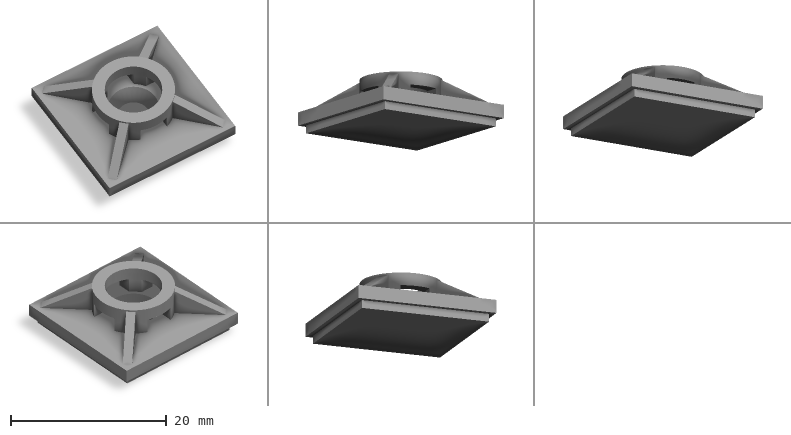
import cadquery as cq

plate_side = 19.0
pad_side = 17.5
pad_height = 1.05
plate_thickness = 1.75
plate_top = pad_height + plate_thickness

total_height = 6.5
ring_outer_diameter = 10.7
ring_inner_diameter = 7.4
strap_width = 4.0
strap_height = 2.0

sink_top_diameter = 6.5
sink_bottom_diameter = 4.1
sink_depth = plate_thickness

rib_count = 4
first_rib_angle = 45
rib_thickness = 1.2
rib_tip_radius = 11.98
rib_drop_below_ring = 0.25


def make_base():
    pad = cq.Workplane("XY").rect(pad_side, pad_side).extrude(pad_height)
    plate = (
        cq.Workplane("XY")
        .workplane(offset=pad_height)
        .rect(plate_side, plate_side)
        .extrude(plate_thickness)
    )
    return pad.union(plate)


def make_ring():
    return (
        cq.Workplane("XY")
        .workplane(offset=plate_top)
        .circle(ring_outer_diameter / 2)
        .circle(ring_inner_diameter / 2)
        .extrude(total_height - plate_top)
    )


def make_strap_slots():
    """Two crossing tunnels along X and Y, lying on the plate."""
    slot_floor = cq.Workplane("XY").workplane(offset=plate_top)
    along_x = slot_floor.rect(plate_side, strap_width).extrude(strap_height)
    along_y = slot_floor.rect(strap_width, plate_side).extrude(strap_height)
    return along_x.union(along_y)


def make_rib(angle):
    """Rib sloping from the ring's outer wall down to the plate."""
    rib_top = total_height - rib_drop_below_ring
    root_radius = (ring_outer_diameter + ring_inner_diameter) / 4
    return (
        cq.Workplane("XZ")
        .moveTo(root_radius, plate_top)
        .lineTo(rib_tip_radius, plate_top)
        .lineTo(ring_outer_diameter / 2, rib_top)
        .lineTo(root_radius, rib_top)
        .close()
        .extrude(rib_thickness / 2, both=True)
        .rotate((0, 0, 0), (0, 0, 1), angle)
    )


def make_countersink():
    return (
        cq.Workplane("XY")
        .workplane(offset=plate_top - sink_depth)
        .circle(sink_bottom_diameter / 2)
        .workplane(offset=sink_depth)
        .circle(sink_top_diameter / 2)
        .loft(ruled=True)
    )


result = make_base().union(make_ring().cut(make_strap_slots()))
for index in range(rib_count):
    result = result.union(make_rib(first_rib_angle + index * 360 / rib_count))
result = result.cut(make_countersink())